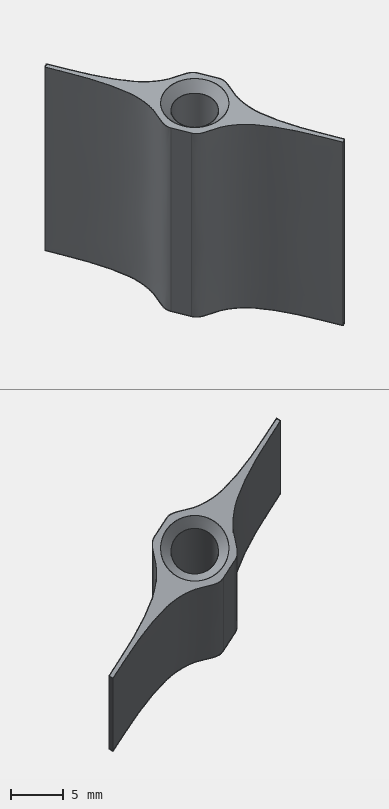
import cadquery as cq

width = 30
depth = 7.7
height = 25.0

flat_width = 2.1
edge_thickness = 0.45

bore_diameter = 4.5
mouth_diameter = 6.48
mouth_depth = 1.0

flank_points = [
    (1.5, 3.78),
    (2.35, 3.18),
    (3.18, 2.37),
    (4.25, 1.62),
    (5.6, 1.02),
    (7.55, 0.57),
    (10.8, 0.27),
]


def quarter_section():
    """Section of the blade in the +X +Y quadrant."""
    flat_end = (flat_width / 2, depth / 2)
    blade_edge = (width / 2, edge_thickness / 2)
    return (
        cq.Workplane("XY")
        .moveTo(0, 0)
        .lineTo(0, depth / 2)
        .lineTo(*flat_end)
        .spline(flank_points + [blade_edge], includeCurrent=True)
        .lineTo(width / 2, 0)
        .close()
    )


def winged_body():
    """Prism with the same flank mirrored into all four quadrants."""
    quarter = quarter_section().extrude(height)
    half = quarter.union(quarter.mirror("YZ"))
    return half.union(half.mirror("XZ")).clean()


def bore_cutter():
    """Through bore that widens to a conical mouth at the top."""
    bore_radius = bore_diameter / 2
    return (
        cq.Workplane("XZ")
        .moveTo(0, 0)
        .lineTo(bore_radius, 0)
        .lineTo(bore_radius, height - mouth_depth)
        .lineTo(mouth_diameter / 2, height)
        .lineTo(0, height)
        .close()
        .revolve(360, (0, 0, 0), (0, 1, 0))
    )


result = winged_body().cut(bore_cutter())